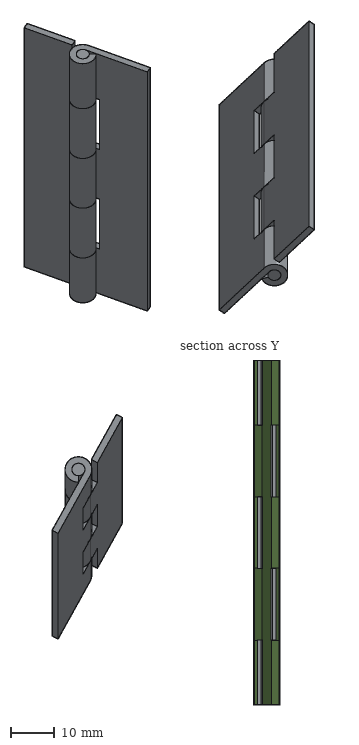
import cadquery as cq
import math


height = 80.0
open_width = 32.0
sheet_thickness = 1.6
pin_radius = 1.5
inner_knuckle_height = 16.6
knuckle_count = 5
notch_clearance = 0.4
curl_end_angle = 28.0

knuckle_radius = pin_radius + sheet_thickness
notch_edge = knuckle_radius + notch_clearance
leaf_end = open_width / 2
end_knuckle_height = (height - (knuckle_count - 2) * inner_knuckle_height) / 2


def knuckle_span(index):
    """Bottom level and height of a knuckle, counted from the bottom."""
    if index == 0:
        return 0, end_knuckle_height
    bottom = end_knuckle_height + (index - 1) * inner_knuckle_height
    if index == knuckle_count - 1:
        return bottom, end_knuckle_height
    return bottom, inner_knuckle_height


def polar_point(radius, degrees):
    """Point in the XY plane at an angle about the pin axis."""
    angle = math.radians(degrees)
    return radius * math.cos(angle), radius * math.sin(angle)


def make_knuckle(bottom, length):
    """Sheet rolled around the pin, with a flat run out to the leaf on the +X side."""
    curl_start_angle = 90
    full_turn = 360
    middle_angle = (curl_start_angle + curl_end_angle + full_turn) / 2
    return (
        cq.Workplane("XY", origin=(0, 0, bottom))
        .moveTo(notch_edge, knuckle_radius)
        .lineTo(0, knuckle_radius)
        .threePointArc(
            polar_point(knuckle_radius, middle_angle),
            polar_point(knuckle_radius, curl_end_angle),
        )
        .lineTo(*polar_point(pin_radius, curl_end_angle))
        .threePointArc(polar_point(pin_radius, middle_angle), (0, pin_radius))
        .lineTo(notch_edge, pin_radius)
        .close()
        .extrude(length)
    )


def make_leaf(knuckle_indices):
    """Flat plate on the +X side joined to its own knuckles."""
    leaf = cq.Workplane("XY").box(
        leaf_end - notch_edge, sheet_thickness, height, centered=False
    ).translate((notch_edge, pin_radius, 0))
    for index in knuckle_indices:
        leaf = leaf.union(make_knuckle(*knuckle_span(index)))
    return leaf.clean()


def make_pin():
    """Plain pin, flush with both ends of the hinge."""
    return cq.Workplane("XY").circle(pin_radius).extrude(height)


right_leaf = make_leaf(range(0, knuckle_count, 2))
left_leaf = make_leaf(range(1, knuckle_count, 2)).mirror("YZ")
pin = make_pin()

result = cq.Compound.makeCompound([right_leaf.solids().val(), left_leaf.solids().val(), pin.val()])